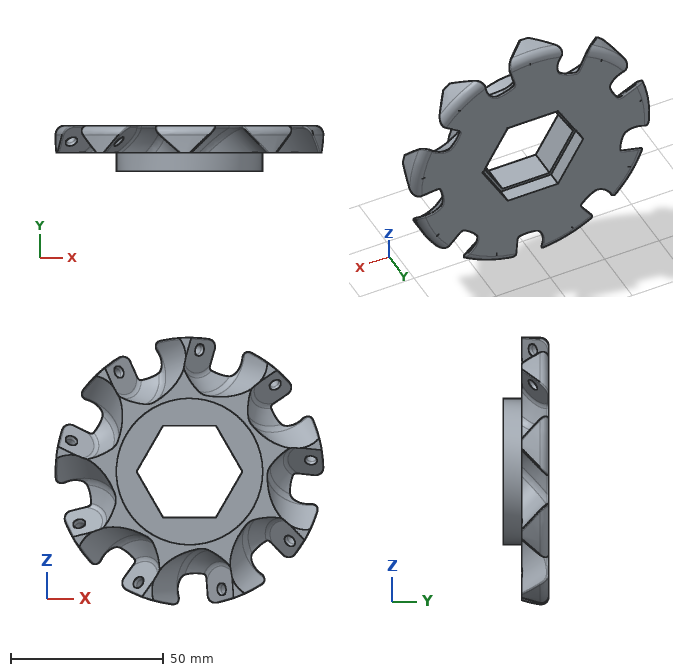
import cadquery as cq
import math

DISC_RADIUS = 44.0
DISC_THICKNESS = 9.0
BACK_RIM_FILLET = 3.0
HUB_RADIUS = 24.0
HUB_HEIGHT = 6.1

HEX_ACROSS_FLATS = 30.0
WIDE_HEX_ACROSS_FLATS = 32.0
WIDE_HEX_DEPTH = 5.0

POCKET_COUNT = 9
POCKET_PITCH = 360.0 / POCKET_COUNT
FIRST_POCKET_ANGLE = 16.0
POCKET_TILT = 45.0
SEAT_CENTRE = (-7.8, 3.7, 38.9)
SEAT_CORNER_FILLET = 2.1
POCKET_RADIUS = 13.5
FLOOR_DEPTH = 6.1
FLOOR_ROOT_RADIUS = 8.2
FLOOR_TOP_FILLET = 3.8
FLOOR_BOW = 0.2
POCKET_LENGTH = 22.9

SCREW_OFFSET = 0.35
SCREW_RADIUS = 1.7
COUNTERSINK_RADIUS = 2.0
COUNTERSINK_DEPTH = 1.2
SCREW_DEPTH = 5.3

EDGE_FILLET = 0.35

tilt = math.radians(POCKET_TILT)
POCKET_AXIS = cq.Vector(math.cos(tilt), -math.sin(tilt), 0)
RADIAL = cq.Vector(0, 0, 1)


def disc_with_hub():
    """Plain body: disc from Y = 0 to +Y, hub on its -Y side."""
    disc = (
        cq.Workplane("XZ")
        .circle(DISC_RADIUS)
        .extrude(-DISC_THICKNESS)
        .faces(">Y")
        .edges()
        .fillet(BACK_RIM_FILLET)
    )
    hub = cq.Workplane("XZ").circle(HUB_RADIUS).extrude(HUB_HEIGHT)
    return disc.union(hub)


def pocket_cutter():
    """Round pocket turned about the seat axis: flat seat, bowed floor, cylindrical flank."""
    axial_plane = cq.Plane(SEAT_CENTRE, xDir=RADIAL, normal=RADIAL.cross(POCKET_AXIS))
    chord = math.hypot(POCKET_RADIUS - FLOOR_ROOT_RADIUS, FLOOR_DEPTH)
    floor_middle = (
        (FLOOR_ROOT_RADIUS + POCKET_RADIUS) / 2 + FLOOR_BOW * FLOOR_DEPTH / chord,
        FLOOR_DEPTH / 2 - FLOOR_BOW * (POCKET_RADIUS - FLOOR_ROOT_RADIUS) / chord,
    )
    body = (
        cq.Workplane(axial_plane)
        .lineTo(FLOOR_ROOT_RADIUS, 0)
        .threePointArc(floor_middle, (POCKET_RADIUS, FLOOR_DEPTH))
        .lineTo(POCKET_RADIUS, POCKET_LENGTH)
        .lineTo(0, POCKET_LENGTH)
        .close()
        .revolve(360, (0, 0), (0, 1))
    )
    seat_centre = cq.Vector(*SEAT_CENTRE)
    floor_top_centre = seat_centre + POCKET_AXIS * FLOOR_DEPTH
    for centre, radius in ((seat_centre, SEAT_CORNER_FILLET), (floor_top_centre, FLOOR_TOP_FILLET)):
        corner = cq.selectors.NearestToPointSelector(centre.toTuple())
        body = body.edges("%CIRCLE").edges(corner).fillet(radius)
    hole = (
        cq.Workplane(axial_plane)
        .center(SCREW_OFFSET, 0)
        .polyline([
            (0, 0),
            (COUNTERSINK_RADIUS, 0),
            (SCREW_RADIUS, -COUNTERSINK_DEPTH),
            (SCREW_RADIUS, -SCREW_DEPTH),
            (0, -SCREW_DEPTH),
        ])
        .close()
        .revolve(360, (0, 0), (0, 1))
    )
    return body.union(hole)


body = disc_with_hub()
cutter = pocket_cutter()
for index in range(POCKET_COUNT):
    body = body.cut(cutter.rotate((0, 0, 0), (0, 1, 0), FIRST_POCKET_ANGLE + index * POCKET_PITCH))

flank_edges = [
    edge
    for edge in body.edges("not %CIRCLE").vals()
    if edge.Center().y > 0.9
    and all(abs(math.hypot(point.x, point.z) - DISC_RADIUS) < 0.001 for point in edge.positions([0, 0.5, 1]))
]
body = body.newObject(flank_edges).fillet(EDGE_FILLET)


def hex_prism(across_flats, front, back):
    """Hexagonal prism along Y with corners on the X axis."""
    across_corners = across_flats / math.cos(math.pi / 6)
    return cq.Workplane("XZ", origin=(0, front, 0)).polygon(6, across_corners).extrude(front - back)


body = body.cut(hex_prism(HEX_ACROSS_FLATS, -HUB_HEIGHT, DISC_THICKNESS))
result = body.cut(hex_prism(WIDE_HEX_ACROSS_FLATS, DISC_THICKNESS - WIDE_HEX_DEPTH, DISC_THICKNESS))